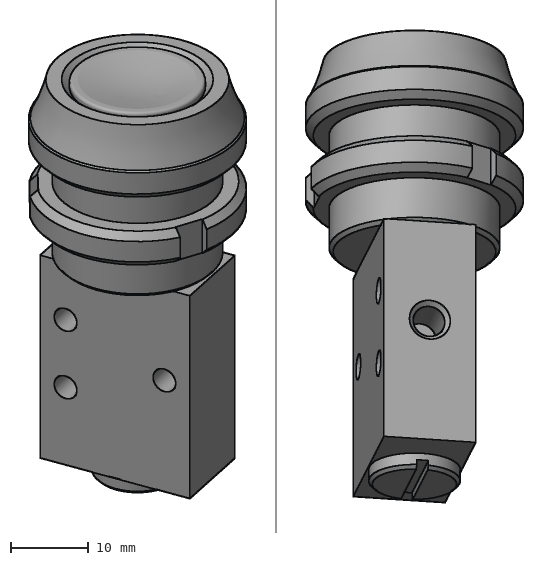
import cadquery as cq
import math

TOTAL_HEIGHT = 58.0
BLOCK_BOTTOM = 2.05
BLOCK_HEIGHT = 30.0
BLOCK_TOP = BLOCK_BOTTOM + BLOCK_HEIGHT

BLOCK_WIDTH = 22.0
BLOCK_DEPTH = 12.0
SCREW_DIAMETER = 11.8
SCREW_CHAMFER = 0.45
SLOT_WIDTH = 1.5
SLOT_DEPTH = 1.1

PORT_LEVEL = 18.5
MOUNT_HOLE_DIAMETER = 3.3
MOUNT_HOLE_X = 7.25
MOUNT_HOLE_RISE = 5.0
PORT_DIAMETER = 4.1
PORT_MOUTH_DIAMETER = 5.35
PORT_DEPTH = 6.95

NECK_RADIUS = BLOCK_WIDTH / 2
NECK_FOOT_RADIUS = 20.95 / 2
NECK_CHAMFER = NECK_RADIUS - NECK_FOOT_RADIUS
BEZEL_DIAMETER = 28.0
BEZEL_RADIUS = BEZEL_DIAMETER / 2
BEZEL_BOTTOM = 48.0
RIM_CHAMFER = 1.0
BEZEL_BAND_TOP = 52.15
BEZEL_EDGE = 0.25
FLARE_TOP_RADIUS = 11.8
FLARE_SAG = 0.2

GAP_MOUTH_RADIUS = 9.75
BUTTON_RADIUS = 17.5 / 2
GAP_DEPTH = 1.0
BUTTON_EDGE_RADIUS = 0.4
DISH_RADIUS = 7.65
DISH_DEPTH = 1.0

NUT_BOTTOM = 38.0
NUT_HEIGHT = 5.0
NOTCH_COUNT = 3
NOTCH_FIRST_ANGLE = 90
NOTCH_WIDTH = 4.0
NOTCH_FLOOR_RADIUS = 12.75


def make_valve():
    """Valve block with the slotted screw below it, mounting holes and a side port."""
    block = cq.Workplane("XY", origin=(0, 0, BLOCK_BOTTOM)).box(
        BLOCK_WIDTH, BLOCK_DEPTH, BLOCK_HEIGHT, centered=(True, True, False)
    )
    screw = (
        cq.Workplane("XY")
        .circle(SCREW_DIAMETER / 2)
        .extrude(BLOCK_BOTTOM)
        .faces("<Z")
        .chamfer(SCREW_CHAMFER)
    )
    slot = cq.Workplane("XY").box(
        SCREW_DIAMETER, SLOT_WIDTH, SLOT_DEPTH, centered=(True, True, False)
    )
    mount_holes = (
        cq.Workplane("XZ", origin=(0, 0, PORT_LEVEL))
        .pushPoints([
            (-MOUNT_HOLE_X, MOUNT_HOLE_RISE),
            (-MOUNT_HOLE_X, -MOUNT_HOLE_RISE),
            (MOUNT_HOLE_X, 0),
        ])
        .circle(MOUNT_HOLE_DIAMETER / 2)
        .extrude(BLOCK_DEPTH / 2, both=True)
    )
    return block.union(screw.cut(slot)).cut(mount_holes).cut(make_port())


def make_port():
    """Blind port entering the -X face, with a 45 degree countersunk mouth."""
    mouth_radius = PORT_MOUTH_DIAMETER / 2
    bore_radius = PORT_DIAMETER / 2
    mouth_depth = mouth_radius - bore_radius
    return (
        cq.Workplane("XY", origin=(-BLOCK_WIDTH / 2, 0, PORT_LEVEL))
        .moveTo(0, 0)
        .lineTo(0, mouth_radius)
        .lineTo(mouth_depth, bore_radius)
        .lineTo(PORT_DEPTH, bore_radius)
        .lineTo(PORT_DEPTH, 0)
        .close()
        .revolve(360, (0, 0, 0), (1, 0, 0))
    )


def make_head():
    """Turned neck, bezel and dished button, revolved from one half profile."""
    flare_bottom = BEZEL_BAND_TOP + BEZEL_EDGE
    flare_bottom_radius = BEZEL_RADIUS - BEZEL_EDGE
    flare_run = flare_bottom_radius - FLARE_TOP_RADIUS
    flare_rise = TOTAL_HEIGHT - flare_bottom
    flare_length = math.hypot(flare_run, flare_rise)
    flare_middle = (
        (flare_bottom_radius + FLARE_TOP_RADIUS) / 2 - FLARE_SAG * flare_rise / flare_length,
        (flare_bottom + TOTAL_HEIGHT) / 2 - FLARE_SAG * flare_run / flare_length,
    )
    edge_inset = BUTTON_EDGE_RADIUS * (1 - math.sqrt(0.5))
    dish_sphere_radius = (DISH_RADIUS**2 + DISH_DEPTH**2) / (2 * DISH_DEPTH)
    dish_middle_radius = DISH_RADIUS / 2
    dish_middle_rise = dish_sphere_radius - math.sqrt(dish_sphere_radius**2 - dish_middle_radius**2)
    dish_bottom = TOTAL_HEIGHT - DISH_DEPTH
    return (
        cq.Workplane("XZ")
        .moveTo(0, BLOCK_TOP)
        .lineTo(NECK_FOOT_RADIUS, BLOCK_TOP)
        .lineTo(NECK_RADIUS, BLOCK_TOP + NECK_CHAMFER)
        .lineTo(NECK_RADIUS, BEZEL_BOTTOM)
        .lineTo(BEZEL_RADIUS - RIM_CHAMFER, BEZEL_BOTTOM)
        .lineTo(BEZEL_RADIUS, BEZEL_BOTTOM + RIM_CHAMFER)
        .lineTo(BEZEL_RADIUS, BEZEL_BAND_TOP)
        .lineTo(flare_bottom_radius, flare_bottom)
        .threePointArc(flare_middle, (FLARE_TOP_RADIUS, TOTAL_HEIGHT))
        .lineTo(GAP_MOUTH_RADIUS, TOTAL_HEIGHT)
        .lineTo(BUTTON_RADIUS, TOTAL_HEIGHT - GAP_DEPTH)
        .lineTo(BUTTON_RADIUS, TOTAL_HEIGHT - BUTTON_EDGE_RADIUS)
        .threePointArc(
            (BUTTON_RADIUS - edge_inset, TOTAL_HEIGHT - edge_inset),
            (BUTTON_RADIUS - BUTTON_EDGE_RADIUS, TOTAL_HEIGHT),
        )
        .lineTo(DISH_RADIUS, TOTAL_HEIGHT)
        .threePointArc((dish_middle_radius, dish_bottom + dish_middle_rise), (0, dish_bottom))
        .close()
        .revolve(360, (0, 0, 0), (0, 1, 0))
    )


def make_nut():
    """Panel nut as a chamfered collar with spanner notches around its rim."""
    nut = (
        cq.Workplane("XY", origin=(0, 0, NUT_BOTTOM))
        .circle(BEZEL_RADIUS)
        .extrude(NUT_HEIGHT)
        .faces("<Z or >Z")
        .chamfer(RIM_CHAMFER)
    )
    notch = cq.Workplane("XY", origin=(NOTCH_FLOOR_RADIUS, 0, NUT_BOTTOM)).box(
        BEZEL_RADIUS - NOTCH_FLOOR_RADIUS, NOTCH_WIDTH, NUT_HEIGHT, centered=(False, True, False)
    )
    for index in range(NOTCH_COUNT):
        angle = NOTCH_FIRST_ANGLE + index * 360 / NOTCH_COUNT
        nut = nut.cut(notch.rotate((0, 0, 0), (0, 0, 1), angle))
    return nut


def make_actuator():
    """Push-button actuator: turned head and its panel nut as one solid."""
    return make_head().union(make_nut())


valve = make_valve()
actuator = make_actuator()

result = cq.Compound.makeCompound([valve.solids().val(), actuator.solids().val()])